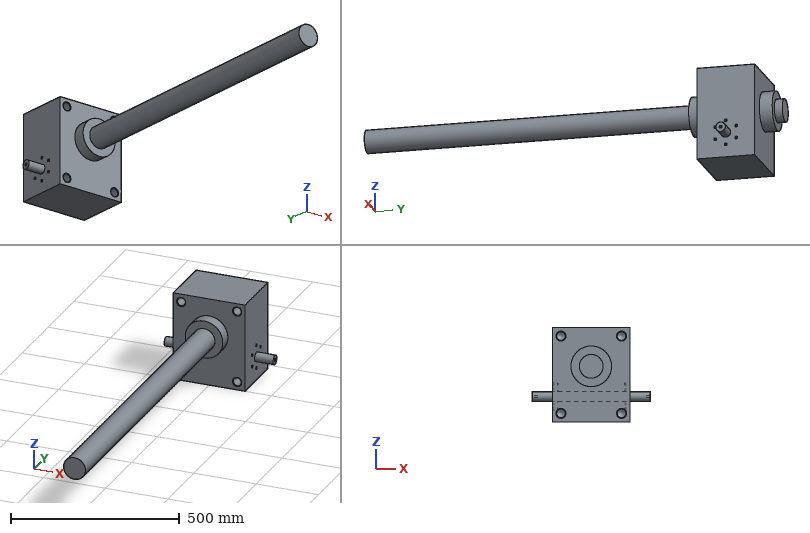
import cadquery as cq
import math


housing_width = 230.0
housing_depth = 177.0
housing_height = 280.0
screw_to_top = 115.0
housing_center_z = screw_to_top - housing_height / 2

mount_inset = 25.0
mount_diameter = 25.0
mount_mouth_diameter = 30.0
mount_depth = 45.0

screw_hole_diameter = 6.7
screw_hole_mouth_diameter = 8.3
screw_hole_depth = 15.0

drill_point_angle = 118

shaft_diameter = 30.0
shaft_length = 350.0
shaft_drop = 90.0

flange_hole_count = 6
flange_circle_diameter = 74.0

sleeve_diameter = 120.0
sleeve_overhang = 40.0
sleeve_length = housing_depth + 2 * sleeve_overhang

screw_diameter = 70.0
screw_length = 1281.0
screw_rear_overhang = 24.0
screw_rear_y = sleeve_length / 2 + screw_rear_overhang


def rod_along_y(diameter, length, rear_y):
    """Cylinder on the screw axis, running forward (-Y) from rear_y."""
    return cq.Workplane("XZ", origin=(0, rear_y, 0)).circle(diameter / 2).extrude(length)


def rod_along_x(diameter, length):
    """Cylinder on the worm shaft axis, centred on X = 0."""
    return cq.Workplane("YZ", origin=(0, 0, -shaft_drop)).circle(diameter / 2).extrude(length / 2, both=True)


def drilled_hole_cutter(diameter, mouth_diameter, depth):
    """Hole with a 45-degree countersunk mouth and a conical bottom, entering along +Y from the origin."""
    radius = diameter / 2
    mouth_radius = mouth_diameter / 2
    point_length = radius / math.tan(math.radians(drill_point_angle / 2))
    profile = (
        cq.Workplane("XY")
        .moveTo(0, 0)
        .lineTo(mouth_radius, 0)
        .lineTo(radius, mouth_radius - radius)
        .lineTo(radius, depth)
        .lineTo(0, depth + point_length)
        .close()
    )
    return profile.revolve(360, (0, 0, 0), (0, 1, 0))


def side_screw_hole_cutter(side):
    """Small screw hole entering from the origin toward the middle, for the -X (-1) or +X (1) side."""
    cutter = drilled_hole_cutter(screw_hole_diameter, screw_hole_mouth_diameter, screw_hole_depth)
    return cutter.rotate((0, 0, 0), (0, 0, 1), side * 90)


def cut_mounting_holes(body):
    """One mounting hole near each corner of the front face."""
    cutter = drilled_hole_cutter(mount_diameter, mount_mouth_diameter, mount_depth)
    for side_x in (-1, 1):
        for side_z in (-1, 1):
            x = side_x * (housing_width / 2 - mount_inset)
            z = housing_center_z + side_z * (housing_height / 2 - mount_inset)
            body = body.cut(cutter.translate((x, -housing_depth / 2, z)))
    return body


def cut_flange_holes(body):
    """Ring of screw holes around the worm shaft on both side faces."""
    circle_radius = flange_circle_diameter / 2
    for side in (-1, 1):
        for index in range(flange_hole_count):
            angle = 2 * math.pi * index / flange_hole_count
            y = circle_radius * math.sin(angle)
            z = circle_radius * math.cos(angle) - shaft_drop
            body = body.cut(side_screw_hole_cutter(side).translate((side * housing_width / 2, y, z)))
    return body


def make_housing():
    """Gear housing, bored through for the drive sleeve and the worm shaft."""
    block = cq.Workplane("XY").box(housing_width, housing_depth, housing_height)
    block = block.translate((0, 0, housing_center_z))
    block = block.cut(rod_along_y(sleeve_diameter, sleeve_length, sleeve_length / 2))
    block = block.cut(rod_along_x(shaft_diameter, shaft_length))
    return cut_flange_holes(cut_mounting_holes(block))


def make_worm_shaft():
    """Through shaft with a screw hole in each end."""
    shaft = rod_along_x(shaft_diameter, shaft_length)
    for side in (-1, 1):
        shaft = shaft.cut(side_screw_hole_cutter(side).translate((side * shaft_length / 2, 0, -shaft_drop)))
    return shaft


def make_drive_sleeve():
    """Sleeve through the housing, bored for the screw."""
    sleeve = rod_along_y(sleeve_diameter, sleeve_length, sleeve_length / 2)
    return sleeve.cut(rod_along_y(screw_diameter, screw_length, screw_rear_y))


def make_screw():
    """Plain lifting screw through the sleeve."""
    return rod_along_y(screw_diameter, screw_length, screw_rear_y)


housing = make_housing()
worm_shaft = make_worm_shaft()
drive_sleeve = make_drive_sleeve()
screw = make_screw()

result = cq.Compound.makeCompound([housing.val(), worm_shaft.val(), drive_sleeve.val(), screw.val()])